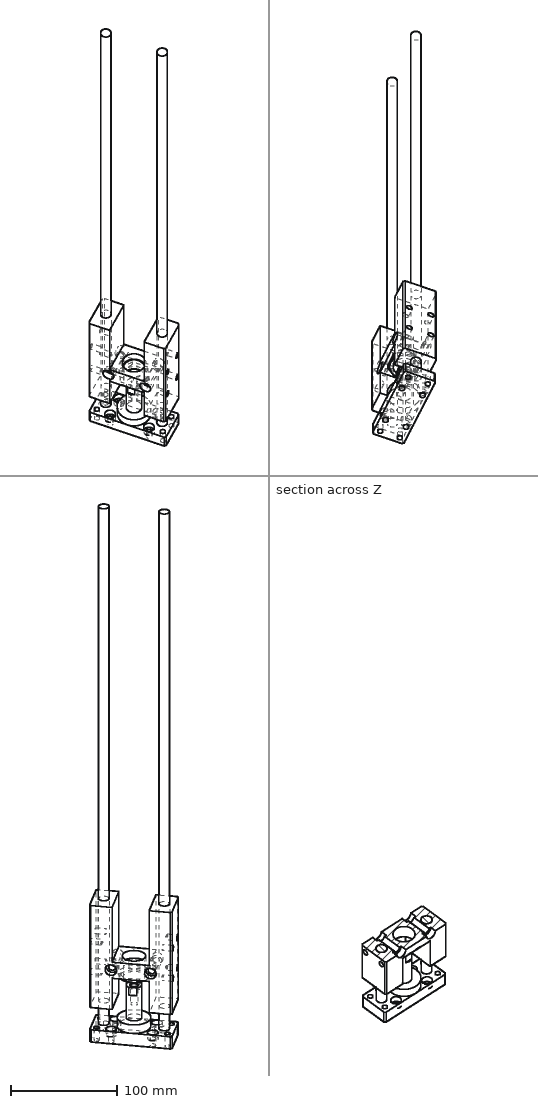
import math

import cadquery as cq

housing_width = 79.0
housing_depth = 34.0
housing_bottom = 37.0
housing_top = 145.0
edge_chamfer = 1.5
slot_width = 35.5
bridge_bottom = 70.0
bridge_top = 87.0
bridge_mid = (bridge_bottom + bridge_top) / 2

nut_across_flats = 27.0
nut_height = 4.5
nut_bottom = bridge_bottom - nut_height
nut_chamfer_angle = 30.0
nose_bore_diameter = 22.0
nose_bore_depth = 8.0
thread_diameter = 20.38

mount_spacing = 38.0
mount_diameter = 6.6
mount_bore_diameter = 11.0
mount_bore_depth = 6.5

side_hole_diameter = 5.5
side_hole_depth = 10.0
side_hole_pitch_y = 22.0
side_hole_pitch_z = 32.0
side_hole_mid_z = 88.5

plate_depth = 32.0
plate_thickness = 13.0
rod_diameter = 10.0
rod_spacing = 58.0
rod_top = 560.0
flange_diameter = 32.0
flange_top = 22.0
shaft_diameter = 15.0
shaft_top = 56.5
flat_width = 13.0
flat_height = 8.0
shaft_hole_diameter = 6.65
shaft_hole_depth = 20.0
shaft_countersink_diameter = 8.0

screw_diameter = 5.5
screw_bore_diameter = 10.0
screw_bore_depth = 6.0
screw_spacing_x = 40.0
screw_spacing_y = 21.0

corner_hole_diameter = 4.92
corner_spacing_x = 68.0
corner_spacing_y = 20.0

drill_point_angle = 118.0

rod_centres = [(-rod_spacing / 2, 0), (rod_spacing / 2, 0)]


def corner_points(spacing_x, spacing_y):
    """Four points of a rectangle centred on the Z axis."""
    return [(x * spacing_x / 2, y * spacing_y / 2) for x in (-1, 1) for y in (-1, 1)]


def cylinder(diameter, bottom, top, centre=(0, 0)):
    """Upright cylinder between two heights."""
    return cq.Workplane("XY", origin=(*centre, bottom)).circle(diameter / 2).extrude(top - bottom)


def box(width, depth, bottom, top):
    """Block centred on the Z axis between two heights."""
    return cq.Workplane("XY", origin=(0, 0, bottom)).rect(width, depth).extrude(top - bottom)


def cut_drilled_hole(body, diameter, depth, start, direction):
    """Blind hole that ends in a conical drill point."""
    radius = diameter / 2
    point_length = radius / math.tan(math.radians(drill_point_angle / 2))
    body = body.cut(cq.Solid.makeCylinder(radius, depth, start, direction))
    return body.cut(cq.Solid.makeCone(radius, 0, point_length, start + direction * depth, direction))


def make_nut():
    """Hexagon with two corners along X, its lower corners trimmed by a cone."""
    across_corners = nut_across_flats / math.cos(math.radians(30))
    hexagon = cq.Workplane("XY", origin=(0, 0, nut_bottom)).polygon(6, across_corners).extrude(nut_height)
    cone = cq.Solid.makeCone(
        nut_across_flats / 2,
        nut_across_flats / 2 + nut_height / math.tan(math.radians(nut_chamfer_angle)),
        nut_height,
        cq.Vector(0, 0, nut_bottom),
    )
    return hexagon.intersect(cq.Workplane(obj=cone))


def make_housing():
    body = box(housing_width, housing_depth, housing_bottom, housing_top)
    body = body.edges("|Z").chamfer(edge_chamfer)
    body = body.cut(box(slot_width, housing_depth, housing_bottom, bridge_bottom))
    body = body.cut(box(slot_width, housing_depth, bridge_top, housing_top))
    body = body.union(make_nut())
    body = body.cut(cylinder(thread_diameter, nut_bottom, bridge_top))
    body = body.cut(cylinder(nose_bore_diameter, bridge_top - nose_bore_depth, bridge_top))
    for centre in rod_centres:
        body = body.cut(cylinder(rod_diameter, housing_bottom, housing_top, centre))
    body = cut_mount_holes(body)
    return cut_side_holes(body)


def cut_mount_holes(body):
    for x in (-mount_spacing / 2, mount_spacing / 2):
        for face_y, inward in ((-housing_depth / 2, 1), (housing_depth / 2, -1)):
            start = cq.Vector(x, face_y, bridge_mid)
            direction = cq.Vector(0, inward, 0)
            body = body.cut(cq.Solid.makeCylinder(mount_diameter / 2, housing_depth, start, direction))
            bore = cq.Solid.makeCylinder(mount_bore_diameter / 2, mount_bore_depth, start, direction)
            body = body.cut(bore)
    return body


def cut_side_holes(body):
    for side in (-1, 1):
        for row in (-1, 1):
            for column in (-1, 1):
                start = cq.Vector(
                    side * housing_width / 2,
                    column * side_hole_pitch_y / 2,
                    side_hole_mid_z + row * side_hole_pitch_z / 2,
                )
                body = cut_drilled_hole(
                    body, side_hole_diameter, side_hole_depth, start, cq.Vector(-side, 0, 0)
                )
    return body


def make_shaft():
    shaft = cylinder(shaft_diameter, flange_top, shaft_top)
    flats = box(shaft_diameter, flat_width, shaft_top - flat_height, shaft_top)
    lower = cylinder(shaft_diameter, flange_top, shaft_top - flat_height)
    return shaft.intersect(flats).union(lower)


def cut_shaft_hole(body):
    """Drilled hole in the shaft end with a 45 degree countersink."""
    start = cq.Vector(0, 0, shaft_top)
    downward = cq.Vector(0, 0, -1)
    body = cut_drilled_hole(body, shaft_hole_diameter, shaft_hole_depth, start, downward)
    sink_radius = shaft_countersink_diameter / 2
    return body.cut(cq.Solid.makeCone(sink_radius, 0, sink_radius, start, downward))


def make_yoke():
    body = box(housing_width, plate_depth, 0, plate_thickness)
    body = body.edges("|Z").chamfer(edge_chamfer)
    body = body.union(cylinder(flange_diameter, plate_thickness, flange_top))
    body = body.union(make_shaft())
    for centre in rod_centres:
        body = body.union(cylinder(rod_diameter, plate_thickness, rod_top, centre))
    for centre in corner_points(screw_spacing_x, screw_spacing_y):
        body = body.cut(cylinder(screw_diameter, 0, plate_thickness, centre))
        bore_bottom = plate_thickness - screw_bore_depth
        body = body.cut(cylinder(screw_bore_diameter, bore_bottom, plate_thickness, centre))
    for centre in corner_points(corner_spacing_x, corner_spacing_y):
        body = body.cut(cylinder(corner_hole_diameter, 0, plate_thickness, centre))
    return cut_shaft_hole(body)


housing = make_housing()
yoke = make_yoke()

result = cq.Compound.makeCompound([housing.val(), yoke.val()])